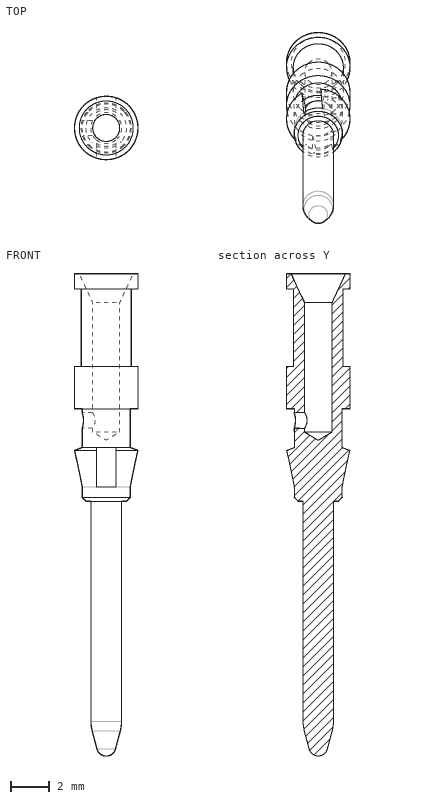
import cadquery as cq
import math

TOTAL_LENGTH = 25.0

RIM_BOTTOM = TOTAL_LENGTH - 0.8
COLLAR_TOP = TOTAL_LENGTH - 4.8
COLLAR_BOTTOM = TOTAL_LENGTH - 7.0
BARB_TOP = TOTAL_LENGTH - 9.0
BARB_EDGE = BARB_TOP - 0.15
BARB_BOTTOM = TOTAL_LENGTH - 11.05
NECK_CHAMFER = 0.2
SHOULDER = TOTAL_LENGTH - 11.8
SHAFT_END = 1.8

RIM_RADIUS = 1.65
BARREL_RADIUS = 1.3
NECK_RADIUS = 1.25
SHAFT_RADIUS = 0.8

TIP_BALL_RADIUS = 0.5
TIP_TAPER_ANGLE = math.radians(15)

FUNNEL_RADIUS = 1.4
FUNNEL_DEPTH = 1.5
BORE_RADIUS = 0.7
BORE_DEPTH = 8.2
DRILL_POINT_ANGLE = math.radians(118)

SIGHT_HOLE_DIAMETER = 0.8
SIGHT_HOLE_HEIGHT = TOTAL_LENGTH - 7.6

SLOT_WIDTH = 1.0
SLOT_CORE_RADIUS = 0.95


def make_body():
    """Revolve the outer profile, drawn as (radius, height)."""
    sine = math.sin(TIP_TAPER_ANGLE)
    cosine = math.cos(TIP_TAPER_ANGLE)

    ball_end = (TIP_BALL_RADIUS * cosine, TIP_BALL_RADIUS * (1 - sine))
    half_angle = (math.pi / 2 - TIP_TAPER_ANGLE) / 2
    ball_middle = (
        TIP_BALL_RADIUS * math.sin(half_angle),
        TIP_BALL_RADIUS * (1 - math.cos(half_angle)),
    )

    corner_height = ball_end[1] + (SHAFT_RADIUS - ball_end[0]) / math.tan(TIP_TAPER_ANGLE)
    blend_length = SHAFT_END - corner_height
    blend_radius = blend_length / math.tan(TIP_TAPER_ANGLE / 2)
    blend_start = (
        SHAFT_RADIUS - blend_length * sine,
        corner_height - blend_length * cosine,
    )
    blend_middle = (
        SHAFT_RADIUS - blend_radius * (1 - math.cos(TIP_TAPER_ANGLE / 2)),
        SHAFT_END - blend_radius * math.sin(TIP_TAPER_ANGLE / 2),
    )

    profile = (
        cq.Workplane("XZ")
        .moveTo(0, 0)
        .threePointArc(ball_middle, ball_end)
        .lineTo(*blend_start)
        .threePointArc(blend_middle, (SHAFT_RADIUS, SHAFT_END))
        .lineTo(SHAFT_RADIUS, SHOULDER)
        .lineTo(NECK_RADIUS - NECK_CHAMFER, SHOULDER)
        .lineTo(NECK_RADIUS, SHOULDER + NECK_CHAMFER)
        .lineTo(NECK_RADIUS, BARB_BOTTOM)
        .lineTo(RIM_RADIUS, BARB_EDGE)
        .lineTo(NECK_RADIUS, BARB_TOP)
        .lineTo(NECK_RADIUS, COLLAR_BOTTOM)
        .lineTo(RIM_RADIUS, COLLAR_BOTTOM)
        .lineTo(RIM_RADIUS, COLLAR_TOP)
        .lineTo(BARREL_RADIUS, COLLAR_TOP)
        .lineTo(BARREL_RADIUS, RIM_BOTTOM)
        .lineTo(RIM_RADIUS, RIM_BOTTOM)
        .lineTo(RIM_RADIUS, TOTAL_LENGTH)
        .lineTo(0, TOTAL_LENGTH)
        .close()
    )
    return profile.revolve(360, (0, 0, 0), (0, 1, 0))


def make_bore():
    """Funnel, straight bore and conical bottom as one revolved cutter."""
    bore_bottom = TOTAL_LENGTH - BORE_DEPTH
    point_depth = BORE_RADIUS / math.tan(DRILL_POINT_ANGLE / 2)
    return (
        cq.Workplane("XZ")
        .moveTo(0, TOTAL_LENGTH)
        .lineTo(FUNNEL_RADIUS, TOTAL_LENGTH)
        .lineTo(BORE_RADIUS, TOTAL_LENGTH - FUNNEL_DEPTH)
        .lineTo(BORE_RADIUS, bore_bottom)
        .lineTo(0, bore_bottom - point_depth)
        .close()
        .revolve(360, (0, 0, 0), (0, 1, 0))
    )


def make_sight_hole():
    """Radial hole from the axis out through the -X wall."""
    return (
        cq.Workplane("YZ")
        .center(0, SIGHT_HOLE_HEIGHT)
        .circle(SIGHT_HOLE_DIAMETER / 2)
        .extrude(-RIM_RADIUS)
    )


def make_barb_slots():
    """Parallel-sided slot across the barb, leaving a round core."""
    slot_height = BARB_TOP - BARB_BOTTOM
    plane = cq.Workplane("XY", origin=(0, 0, BARB_BOTTOM))
    core = plane.circle(SLOT_CORE_RADIUS).extrude(slot_height)
    return plane.rect(SLOT_WIDTH, 2 * RIM_RADIUS).extrude(slot_height).cut(core)


result = (
    make_body()
    .cut(make_bore())
    .cut(make_sight_hole())
    .cut(make_barb_slots())
)